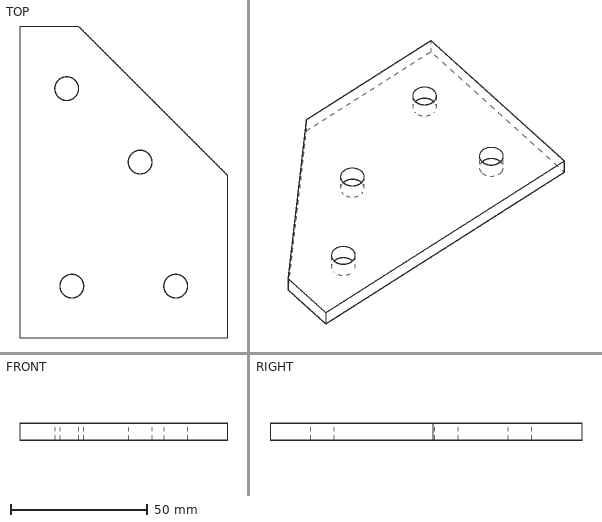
import cadquery as cq
import math

width = 76.2
length = 114.3
thickness = 6.35
corner_cut = 54.61

hole_diameter = 8.636
edge_distance = width / 4
hole_pitch = width / 2
holes_per_row = 2

slanted_row_x = 17.17
slanted_edge_distance = 19.25
diagonal = math.sqrt(0.5)


def make_plate():
    """Rectangle with one corner cut off, its -X -Y corner at the origin."""
    outline = [
        (0, 0),
        (width, 0),
        (width, length - corner_cut),
        (width - corner_cut, length),
        (0, length),
    ]
    return cq.Workplane("XY").polyline(outline).close().extrude(thickness)


def hole_centers():
    """Row along the -Y edge, then the row parallel to the slanted edge."""
    bottom_row = []
    for i in range(holes_per_row):
        bottom_row.append((edge_distance + i * hole_pitch, edge_distance))

    slanted_edge_sum = width + length - corner_cut
    slanted_row_sum = slanted_edge_sum - slanted_edge_distance / diagonal
    slanted_row = []
    for i in range(holes_per_row):
        x = slanted_row_x + i * hole_pitch * diagonal
        slanted_row.append((x, slanted_row_sum - x))
    return bottom_row + slanted_row


def drill_holes(plate):
    """Plain through holes at every bolt position."""
    top = plate.faces(">Z").workplane(origin=(0, 0, thickness))
    return top.pushPoints(hole_centers()).hole(hole_diameter)


result = drill_holes(make_plate())